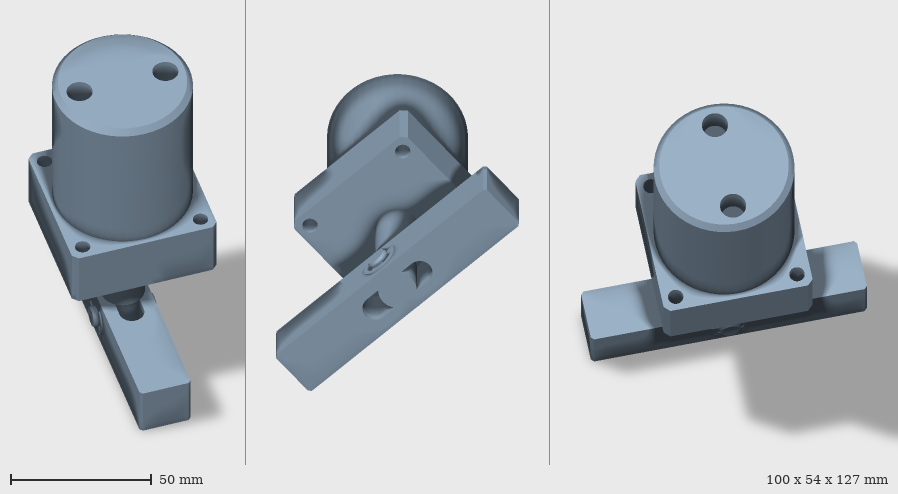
import cadquery as cq
import math


TOTAL_HEIGHT = 127.0

ARM_LENGTH = 100.0
ARM_WIDTH = 19.0
ARM_HEIGHT = 19.0
ARM_CHAMFER = 1.0
SLOT_LENGTH = 30.2
SLOT_WIDTH = 9.0

FLANGE_SIDE = 54.0
FLANGE_HEIGHT = 22.0
FLANGE_BOTTOM = 49.0
FLANGE_TOP = FLANGE_BOTTOM + FLANGE_HEIGHT
BARREL_RADIUS = 25.0
HOUSING_CHAMFER = 2.0
BOLT_SPACING = 44.0
BOLT_HOLE_DIAMETER = 5.5
PORT_MOUTH_DIAMETER = 9.3
PORT_DEPTH = 10.2
PORT_TAPER = math.degrees(math.atan(1 / 32))
PORT_OFFSET = 16.0

ROD_RADIUS = 8.0
ROD_BOTTOM_CHAMFER = 1.1
TANG_RADIUS = ROD_RADIUS - ROD_BOTTOM_CHAMFER

PIN_RADIUS = 4.0
PIN_LENGTH = 23.5
PIN_CHAMFER_DEPTH = 0.5
PIN_CHAMFER_LENGTH = 0.9
PIN_HEIGHT = ARM_HEIGHT / 2
GROOVE_RADIUS = 3.49

CLIP_THICKNESS = 0.5
CLIP_RADIUS = 7.0
CLIP_POCKET_RADIUS = 5.5
CLIP_OPENING_HALF_ANGLE = 58.0
CLIP_POCKET_START = 90.0
CLIP_POCKET_END = 150.0
FRONT_CLIP_ANGLE = 116.0
REAR_CLIP_ANGLE = 98.0
CLIP_STARTS = (-ARM_WIDTH / 2 - CLIP_THICKNESS, ARM_WIDTH / 2)
CLIP_ANGLES = (FRONT_CLIP_ANGLE, REAR_CLIP_ANGLE)


def cross_cylinder(radius, length, y_start=None):
    """Cylinder on the pin axis, centred on Y = 0 unless its lower Y end is given."""
    start = -length / 2 if y_start is None else y_start
    return (
        cq.Workplane("XZ", origin=(0, start, PIN_HEIGHT))
        .circle(radius)
        .extrude(-length)
    )


def make_housing():
    """Square mounting flange with a round barrel, bolt holes and two tapered ports."""
    flange = (
        cq.Workplane("XY", origin=(0, 0, FLANGE_BOTTOM))
        .rect(FLANGE_SIDE, FLANGE_SIDE)
        .extrude(FLANGE_HEIGHT)
        .edges("|Z")
        .chamfer(HOUSING_CHAMFER)
    )
    barrel = (
        cq.Workplane("XY", origin=(0, 0, FLANGE_TOP))
        .circle(BARREL_RADIUS)
        .extrude(TOTAL_HEIGHT - FLANGE_TOP)
        .faces(">Z")
        .chamfer(HOUSING_CHAMFER)
    )
    bolt_holes = (
        cq.Workplane("XY", origin=(0, 0, FLANGE_BOTTOM))
        .rect(BOLT_SPACING, BOLT_SPACING, forConstruction=True)
        .vertices()
        .circle(BOLT_HOLE_DIAMETER / 2)
        .extrude(FLANGE_HEIGHT)
    )
    ports = (
        cq.Workplane("XY", origin=(0, 0, TOTAL_HEIGHT))
        .pushPoints([(0, -PORT_OFFSET), (0, PORT_OFFSET)])
        .circle(PORT_MOUTH_DIAMETER / 2)
        .extrude(-PORT_DEPTH, taper=PORT_TAPER)
    )
    return flange.union(barrel).cut(bolt_holes).cut(ports)


def make_rod():
    """Round rod whose lower end is a flat-sided tang that fills the slot width."""
    shank_bottom = ARM_HEIGHT
    shank = (
        cq.Workplane("XY", origin=(0, 0, shank_bottom))
        .circle(ROD_RADIUS)
        .extrude(FLANGE_BOTTOM - shank_bottom)
        .faces("<Z")
        .chamfer(ROD_BOTTOM_CHAMFER)
    )
    tang = (
        cq.Workplane("XY")
        .circle(TANG_RADIUS)
        .extrude(shank_bottom)
        .intersect(cq.Workplane("XY").box(2 * TANG_RADIUS, SLOT_WIDTH, 2 * shank_bottom))
    )
    return shank.union(tang).cut(cross_cylinder(PIN_RADIUS, ARM_WIDTH))


def make_arm():
    """Rectangular bar with a long central slot and a cross hole for the pin."""
    bar = (
        cq.Workplane("XY")
        .rect(ARM_LENGTH, ARM_WIDTH)
        .extrude(ARM_HEIGHT)
        .edges("|Z")
        .chamfer(ARM_CHAMFER)
    )
    slot = cq.Workplane("XY").slot2D(SLOT_LENGTH, SLOT_WIDTH).extrude(ARM_HEIGHT)
    return bar.cut(slot).cut(cross_cylinder(PIN_RADIUS, ARM_WIDTH))


def make_pin():
    """Chamfered pin with a clip groove just outside each side of the arm."""
    pin = cross_cylinder(PIN_RADIUS, PIN_LENGTH)
    for end_face in ("<Y", ">Y"):
        pin = pin.faces(end_face).chamfer(PIN_CHAMFER_LENGTH, PIN_CHAMFER_DEPTH)
    for groove_start in CLIP_STARTS:
        ring = cross_cylinder(PIN_RADIUS, CLIP_THICKNESS, groove_start).cut(
            cross_cylinder(GROOVE_RADIUS, CLIP_THICKNESS, groove_start)
        )
        pin = pin.cut(ring)
    return pin


def polar(radius, angle):
    """Point at a radius and an angle in degrees."""
    return (radius * math.cos(math.radians(angle)), radius * math.sin(math.radians(angle)))


def make_clip(y_start, opening_angle):
    """E-shaped clip in the XZ plane, with its mouth facing opening_angle."""

    def ring_sector(inner, outer, start, end):
        first = opening_angle + start
        last = opening_angle + end
        middle = (first + last) / 2
        return (
            cq.Workplane("XZ", origin=(0, y_start, PIN_HEIGHT))
            .moveTo(*polar(inner, first))
            .lineTo(*polar(outer, first))
            .threePointArc(polar(outer, middle), polar(outer, last))
            .lineTo(*polar(inner, last))
            .threePointArc(polar(inner, middle), polar(inner, first))
            .close()
            .extrude(-CLIP_THICKNESS)
        )

    clip = ring_sector(
        GROOVE_RADIUS, CLIP_RADIUS, CLIP_OPENING_HALF_ANGLE, 360 - CLIP_OPENING_HALF_ANGLE
    )
    for start, end in (
        (CLIP_POCKET_START, CLIP_POCKET_END),
        (360 - CLIP_POCKET_END, 360 - CLIP_POCKET_START),
    ):
        clip = clip.cut(ring_sector(GROOVE_RADIUS, CLIP_POCKET_RADIUS, start, end))
    return clip


housing = make_housing()
rod = make_rod()
arm = make_arm()
pin = make_pin()
clips = [make_clip(start, angle) for start, angle in zip(CLIP_STARTS, CLIP_ANGLES)]

result = cq.Compound.makeCompound(
    [housing.val(), rod.val(), arm.val(), pin.val(), *[clip.val() for clip in clips]]
)